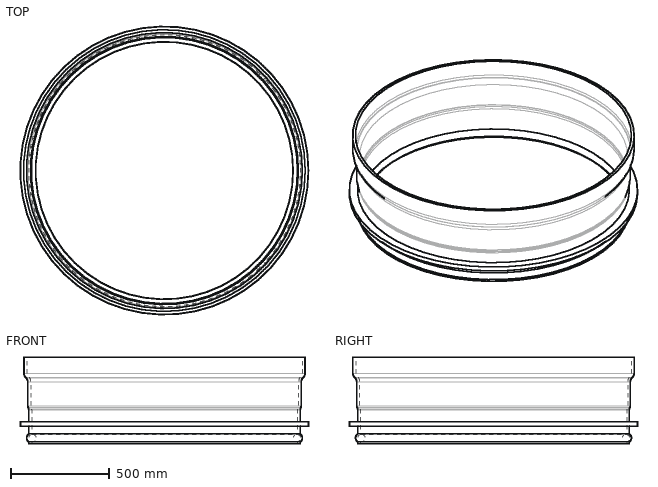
import cadquery as cq
import math

WALL = 15.0
HEIGHT = 440.0
SPIGOT_RADIUS = 1380.0 / 2
BARREL_RADIUS = 1390.0 / 2
SOCKET_RADIUS = 1430.0 / 2

STEP_START = 173.0
STEP_ANGLE = math.radians(20)
STEP_BEND = 20.0
FLARE_START = 315.0
FLARE_ANGLE = math.radians(45)
FLARE_BEND = 30.0

BEAD_HEIGHT = 30.0
BEAD_OUTER_RADIUS = 701.0
BEAD_SECTION_RADIUS = 23.0
SEAL_SECTION_RADIUS = 19.0
SEAL_CENTRE_RADIUS = 672.0

FLANGE_RADIUS = 732.0
FLANGE_BOTTOM = 89.0
FLANGE_THICKNESS = 23.0


def s_bend(lower, upper, start, angle, bend, inset):
    """Arcs of an S transition from outer radius `lower` to `upper`, each as three points from bottom to top.

    `inset` is the depth of the wanted face inside the outer face.
    """
    straight = (upper - lower - 2 * bend * (1 - math.cos(angle))) / math.sin(angle)
    rise = 2 * bend * math.sin(angle) + straight * math.cos(angle)
    lower_centre = lower + bend
    upper_centre = upper - bend
    lower_bend = bend + inset
    upper_bend = bend - inset

    def on_lower(turn):
        return (lower_centre - lower_bend * math.cos(turn), start + lower_bend * math.sin(turn))

    def on_upper(turn):
        return (upper_centre + upper_bend * math.cos(turn), start + rise - upper_bend * math.sin(turn))

    lower_arc = [on_lower(turn) for turn in (0, angle / 2, angle)]
    upper_arc = [on_upper(turn) for turn in (angle, angle / 2, 0)]
    return [lower_arc, upper_arc]


def wall_arcs(inset):
    """All bends of one wall face, from bottom to top."""
    step = s_bend(SPIGOT_RADIUS, BARREL_RADIUS, STEP_START, STEP_ANGLE, STEP_BEND, inset)
    flare = s_bend(BARREL_RADIUS, SOCKET_RADIUS, FLARE_START, FLARE_ANGLE, FLARE_BEND, inset)
    return step + flare


def make_pipe(seal):
    """Whole pipe wall in one revolve, with the seal groove cut inside the bead."""
    bead_centre = BEAD_OUTER_RADIUS - BEAD_SECTION_RADIUS
    half_bead = math.sqrt(BEAD_SECTION_RADIUS**2 - (SPIGOT_RADIUS - bead_centre) ** 2)

    profile = cq.Workplane("XZ").moveTo(SPIGOT_RADIUS - WALL, 0).lineTo(SPIGOT_RADIUS, 0)
    profile = profile.lineTo(SPIGOT_RADIUS, BEAD_HEIGHT - half_bead)
    profile = profile.threePointArc((BEAD_OUTER_RADIUS, BEAD_HEIGHT), (SPIGOT_RADIUS, BEAD_HEIGHT + half_bead))
    for first, middle, last in wall_arcs(0):
        profile = profile.lineTo(*first).threePointArc(middle, last)
    profile = profile.lineTo(SOCKET_RADIUS, HEIGHT).lineTo(SOCKET_RADIUS - WALL, HEIGHT)
    for first, middle, last in reversed(wall_arcs(WALL)):
        profile = profile.lineTo(*last).threePointArc(middle, first)
    return profile.close().revolve(360, (0, 0, 0), (0, 1, 0)).cut(seal)


def make_seal():
    section = cq.Workplane("XZ").center(SEAL_CENTRE_RADIUS, BEAD_HEIGHT).circle(SEAL_SECTION_RADIUS)
    return section.revolve(360, (-SEAL_CENTRE_RADIUS, 0, 0), (-SEAL_CENTRE_RADIUS, 1, 0))


def make_flange():
    flange = cq.Workplane("XY").workplane(offset=FLANGE_BOTTOM)
    return flange.circle(FLANGE_RADIUS).circle(SPIGOT_RADIUS).extrude(FLANGE_THICKNESS)


seal = make_seal()
pipe = make_pipe(seal)
flange = make_flange()

result = cq.Compound.makeCompound([pipe.val(), flange.val(), seal.val()])